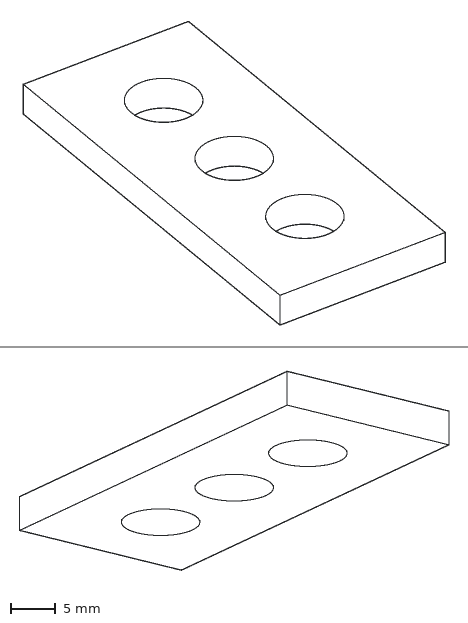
import cadquery as cq

length = 50.8
width = 22.25
thickness = 4.0

hole_diameter = 8.75
hole_pitch = 13.95
hole_count = 3

plate = cq.Workplane("XY").box(length, width, thickness)

result = (
    plate.faces(">Z")
    .workplane()
    .rarray(hole_pitch, 0.5, hole_count, 1)
    .hole(hole_diameter)
)